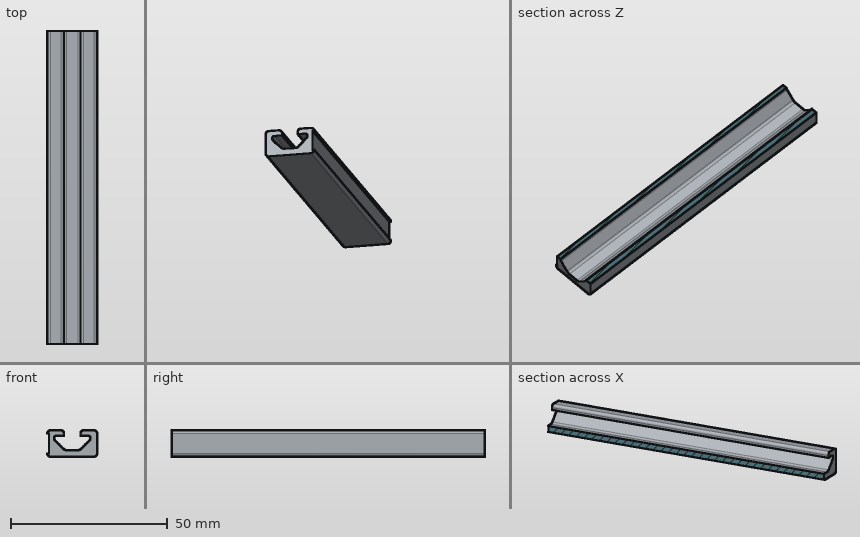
import cadquery as cq

WIDTH = 16.0
LENGTH = 100.0
HEIGHT = 8.5
OUTER_RADIUS = 1.1

SLOT_WIDTH = 5.2
LIP_THICKNESS = 1.8
LIP_RADIUS = 1.0

FLOOR_THICKNESS = 2.15
FLOOR_HALF_WIDTH = 2.4
FLOOR_RADIUS = 1.5
UNDERCUT_RADIUS = 0.8

RECESS_DEPTH = 0.5
RECESS_HEIGHT = HEIGHT - 2 * OUTER_RADIUS

SELECTION_MARGIN = 0.1

CAVITY_TOP = HEIGHT - LIP_THICKNESS
CAVITY_DEPTH = CAVITY_TOP - FLOOR_THICKNESS
CAVITY_HALF_WIDTH = FLOOR_HALF_WIDTH + CAVITY_DEPTH


def prism(points):
    """Extrude an XZ outline along Y, centred on the XZ plane."""
    return cq.Workplane("XZ").polyline(points).close().extrude(LENGTH / 2, both=True)


def make_bar():
    bar = cq.Workplane("XY").box(WIDTH, LENGTH, HEIGHT, centered=(True, True, False))
    return bar.edges("|Y").fillet(OUTER_RADIUS)


def make_cavity():
    cavity = prism([
        (-FLOOR_HALF_WIDTH, FLOOR_THICKNESS),
        (FLOOR_HALF_WIDTH, FLOOR_THICKNESS),
        (CAVITY_HALF_WIDTH, CAVITY_TOP),
        (-CAVITY_HALF_WIDTH, CAVITY_TOP),
    ])
    cavity = cavity.edges("|Y and <Z").fillet(FLOOR_RADIUS)
    return cavity.edges("|Y and >Z").fillet(UNDERCUT_RADIUS)


def make_opening():
    opening = cq.Workplane("XY").box(SLOT_WIDTH, LENGTH, LIP_THICKNESS, centered=(True, True, False))
    return opening.translate((0, 0, CAVITY_TOP))


def make_side_recess():
    recess = cq.Workplane("XY").box(RECESS_DEPTH, LENGTH, RECESS_HEIGHT, centered=(False, True, False))
    return recess.translate((-WIDTH / 2, 0, OUTER_RADIUS))


def round_lips(rail):
    """Round the two top edges that border the slot opening."""
    for side in (-1, 1):
        edge_centre = (side * SLOT_WIDTH / 2, 0, HEIGHT)
        search_low = tuple(value - SELECTION_MARGIN for value in edge_centre)
        search_high = tuple(value + SELECTION_MARGIN for value in edge_centre)
        lip_edge = cq.selectors.BoxSelector(search_low, search_high)
        rail = rail.edges(lip_edge).fillet(LIP_RADIUS)
    return rail


rail = make_bar().cut(make_cavity()).cut(make_opening()).cut(make_side_recess())
result = round_lips(rail)